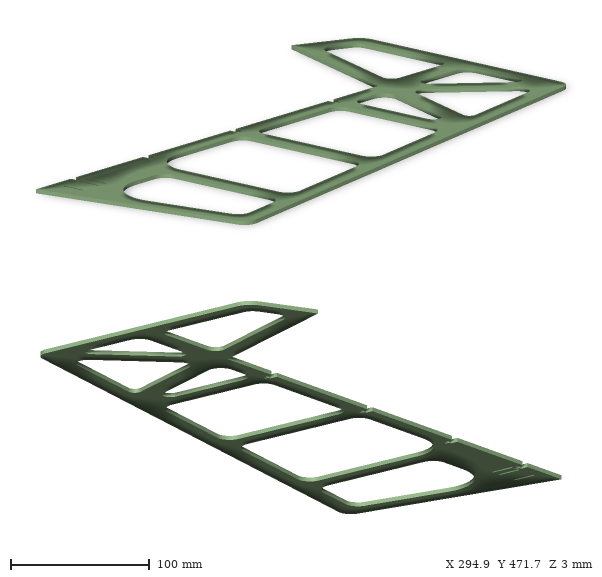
import cadquery as cq
import math

thickness = 3.0
height = 471.71
hinge_edge_top = 377.4
tip_x = -120.5
width = 294.85
bottom_angle = 10.0
tail_angle = -20.0
leading_angle = 64.6
trailing_angle = 99.68
brace_angle = 45.0
bottom_corner_radius = 10.0
top_corner_radius = 10.0
tip_corner_radius = 15.0

frame_width = 13.9
hinge_strip = 14.0
rib_width = 13.5
rib_centers = [324.5, 216.6, 102.2]
brace_intercept = 371.4
post_left_x = -3.0
lower_window_left_x = 39.3
lower_strut_intercept = 375.5

window_radius = 10.0
post_radius = 7.5
trailing_radius = 14.0
brace_radius = 8.0
brace_top_radius = 9.0
upper_brace_radius = 6.0
pointed_end_radius = 5.0
strut_end_radius = 6.2
middle_wide_radius = 30.0
lower_wide_radius = 36.0

notch_centers = [324.9, 216.9, 120.9, 41.3]
notch_width = 6.0
notch_depth = 6.0
relief_width = 2.0
relief_end = 9.0

horn_slot_centers = [45.1, 37.6, 20.5]
horn_slot_width = 2.0
horn_slot_length = 18.5
horn_slot_start_x = 9.0


def line_at(point, angle):
    """A straight line through a point: (point, unit direction)."""
    a = math.radians(angle)
    return point, (math.cos(a), math.sin(a))


def shifted(line, distance):
    """The parallel line lying a distance to the left of the line's direction."""
    (px, py), (dx, dy) = line
    return (px - dy * distance, py + dx * distance), (dx, dy)


def meet(first, second):
    """The crossing point of two lines."""
    (ax, ay), (ux, uy) = first
    (bx, by), (vx, vy) = second
    along = ((bx - ax) * vy - (by - ay) * vx) / (ux * vy - uy * vx)
    return ax + ux * along, ay + uy * along


def upright(x):
    return line_at((x, 0), 90)


def level(y):
    return line_at((0, y), 0)


def rounded_plate(sides, radii):
    """A plate bounded by lines; radii[i] rounds the corner of sides i and i + 1."""
    count = len(sides)
    corners = [meet(sides[i], sides[(i + 1) % count]) for i in range(count)]
    plate = cq.Workplane("XY").polyline(corners).close().extrude(thickness)
    for corner, radius in zip(corners, radii):
        if radius > 0:
            near_corner = cq.selectors.NearestToPointSelector((*corner, thickness / 2))
            plate = plate.edges("|Z").edges(near_corner).fillet(radius)
    return plate


def box(x_start, length, y_center, y_width):
    center = (x_start + length / 2, y_center)
    return cq.Workplane("XY").center(*center).rect(length, y_width).extrude(thickness)


hinge_edge = upright(0)
bottom_edge = line_at((0, 0), bottom_angle)
top_edge = level(height)
tail_edge = line_at((0, hinge_edge_top), tail_angle)
tip = meet(tail_edge, upright(tip_x))
leading_edge = line_at(tip, leading_angle)

corner_center_x = tip_x + width - bottom_corner_radius
corner_center = meet(shifted(bottom_edge, bottom_corner_radius), upright(corner_center_x))
trailing_edge = shifted(line_at(corner_center, trailing_angle), -bottom_corner_radius)

inner_hinge = upright(hinge_strip)
inner_bottom = shifted(bottom_edge, frame_width)
inner_trailing = shifted(trailing_edge, frame_width)
inner_top = level(height - frame_width)
inner_leading = shifted(leading_edge, -frame_width)
strut_top = shifted(tail_edge, frame_width)
strut_bottom = line_at((0, lower_strut_intercept), tail_angle)
brace = line_at((0, brace_intercept), brace_angle)
brace_top = shifted(brace, frame_width / 2)
brace_bottom = shifted(brace, -frame_width / 2)
rib_tops = [level(y + rib_width / 2) for y in rib_centers]
rib_bottoms = [level(y - rib_width / 2) for y in rib_centers]


def make_outline():
    return rounded_plate(
        [hinge_edge, bottom_edge, trailing_edge, top_edge, leading_edge, tail_edge],
        [0, bottom_corner_radius, top_corner_radius, tip_corner_radius, 0, 0],
    )


def make_windows():
    tip_window = rounded_plate(
        [strut_top, upright(post_left_x), inner_top, inner_leading],
        [post_radius, post_radius, window_radius, window_radius],
    )
    upper_brace_window = rounded_plate(
        [inner_hinge, brace_top, inner_top],
        [upper_brace_radius, pointed_end_radius, window_radius],
    )
    lower_brace_window = rounded_plate(
        [strut_top, inner_trailing, brace_bottom],
        [pointed_end_radius, brace_top_radius, brace_radius],
    )
    strut_window = rounded_plate(
        [inner_hinge, rib_tops[0], strut_bottom],
        [window_radius, strut_end_radius, window_radius],
    )
    upper_window = rounded_plate(
        [inner_hinge, rib_tops[1], inner_trailing, rib_bottoms[0]],
        [window_radius, window_radius, trailing_radius, window_radius],
    )
    middle_window = rounded_plate(
        [inner_hinge, rib_tops[2], inner_trailing, rib_bottoms[1]],
        [middle_wide_radius, window_radius, trailing_radius, window_radius],
    )
    lower_window = rounded_plate(
        [upright(lower_window_left_x), inner_bottom, inner_trailing, rib_bottoms[2]],
        [lower_wide_radius, window_radius, trailing_radius, window_radius],
    )
    return [
        tip_window,
        upper_brace_window,
        lower_brace_window,
        strut_window,
        upper_window,
        middle_window,
        lower_window,
    ]


def make_hinge_notch(y):
    mouth = box(0, notch_depth, y, notch_width)
    relief = box(0, relief_end, y, relief_width)
    return mouth.union(relief)


def make_horn_slot(y):
    return box(horn_slot_start_x, horn_slot_length, y, horn_slot_width)


result = make_outline()
for window in make_windows():
    result = result.cut(window)
for notch_y in notch_centers:
    result = result.cut(make_hinge_notch(notch_y))
for slot_y in horn_slot_centers:
    result = result.cut(make_horn_slot(slot_y))